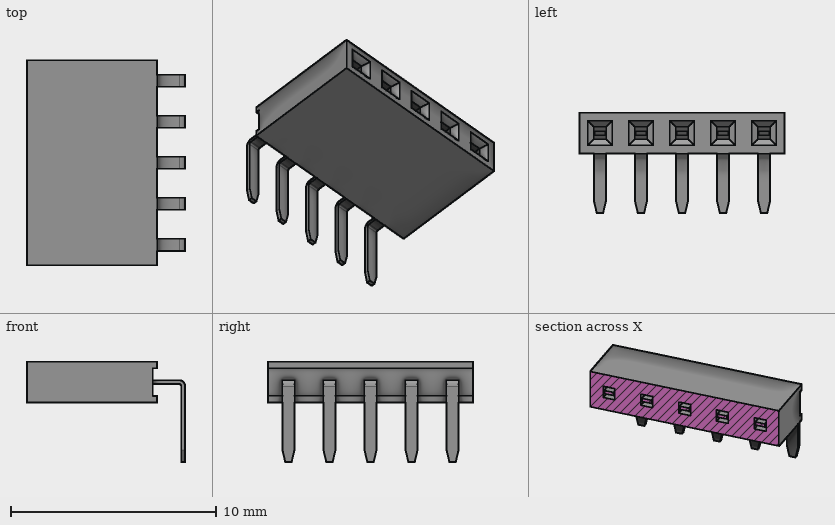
import cadquery as cq
import math


PIN_COUNT = 5
PITCH = 2.0
BODY_LENGTH = 6.35
BODY_WIDTH = PIN_COUNT * PITCH
BODY_HEIGHT = 2.0
REAR_GROOVE_DEPTH = 0.2
REAR_LIP = 0.33

MOUTH_SIZE = 1.2
BORE_SIZE = 0.6
FUNNEL_DEPTH = 0.3
BORE_DEPTH = 4.0

PIN_WIDTH = 0.6
PIN_THICKNESS = 0.2
BEND_INNER_RADIUS = 0.1
BEND_OUTER_RADIUS = BEND_INNER_RADIUS + PIN_THICKNESS
PIN_REACH = 7.72
OVERALL_HEIGHT = 4.9
PIN_BOTTOM = BODY_HEIGHT / 2 - OVERALL_HEIGHT
TIP_LENGTH = 0.6
TIP_WIDTH = 0.32
CONTACT_WIDTH = 0.5
CONTACT_LENGTH = 1.0

REAR_WALL = BODY_LENGTH - REAR_GROOVE_DEPTH


def box(x_start, x_end, width, height):
    """Box spanning x_start to x_end, centred on Y and Z."""
    return cq.Workplane("YZ", origin=(x_start, 0, 0)).rect(width, height).extrude(x_end - x_start)


def make_housing():
    """Rectangular block with a full-width groove along its rear face."""
    block = box(0, BODY_LENGTH, BODY_WIDTH, BODY_HEIGHT)
    groove = box(REAR_WALL, BODY_LENGTH, BODY_WIDTH, BODY_HEIGHT - 2 * REAR_LIP)
    return block.cut(groove)


def make_socket():
    """Cavity of one socket: a square lead-in funnel and a blind square bore."""
    half_angle = math.degrees(math.atan2((MOUTH_SIZE - BORE_SIZE) / 2, FUNNEL_DEPTH))
    funnel = cq.Workplane("YZ").rect(MOUTH_SIZE, MOUTH_SIZE).extrude(FUNNEL_DEPTH, taper=half_angle)
    return funnel.union(box(0, BORE_DEPTH, BORE_SIZE, BORE_SIZE))


def make_pin():
    """Flat pin bent down behind the housing, with a tapered tip and a narrow contact in the bore."""
    half_thickness = PIN_THICKNESS / 2
    leg_inner = PIN_REACH - PIN_THICKNESS
    bend_x = PIN_REACH - BEND_OUTER_RADIUS
    bend_z = half_thickness - BEND_OUTER_RADIUS
    diagonal = math.sqrt(0.5)
    side_profile = (
        cq.Workplane("XZ")
        .moveTo(BORE_DEPTH, half_thickness)
        .lineTo(bend_x, half_thickness)
        .threePointArc(
            (bend_x + BEND_OUTER_RADIUS * diagonal, bend_z + BEND_OUTER_RADIUS * diagonal),
            (PIN_REACH, bend_z),
        )
        .lineTo(PIN_REACH, PIN_BOTTOM)
        .lineTo(leg_inner, PIN_BOTTOM)
        .lineTo(leg_inner, bend_z)
        .threePointArc(
            (bend_x + BEND_INNER_RADIUS * diagonal, bend_z + BEND_INNER_RADIUS * diagonal),
            (bend_x, -half_thickness),
        )
        .lineTo(BORE_DEPTH, -half_thickness)
        .close()
    )
    bent_strip = side_profile.extrude(PIN_WIDTH / 2, both=True)

    shoulder_z = PIN_BOTTOM + TIP_LENGTH
    width_outline = (
        cq.Workplane("YZ")
        .polyline([
            (-PIN_WIDTH / 2, half_thickness),
            (PIN_WIDTH / 2, half_thickness),
            (PIN_WIDTH / 2, shoulder_z),
            (TIP_WIDTH / 2, PIN_BOTTOM),
            (-TIP_WIDTH / 2, PIN_BOTTOM),
            (-PIN_WIDTH / 2, shoulder_z),
        ])
        .close()
        .extrude(PIN_REACH)
    )
    contact = box(BORE_DEPTH - CONTACT_LENGTH, BORE_DEPTH, CONTACT_WIDTH, PIN_THICKNESS)
    return bent_strip.intersect(width_outline).union(contact)


housing = make_housing()
socket = make_socket()
pin = make_pin()

result = housing
for index in range(PIN_COUNT):
    position = (0, (index - (PIN_COUNT - 1) / 2) * PITCH, 0)
    result = result.cut(socket.translate(position)).union(pin.translate(position))